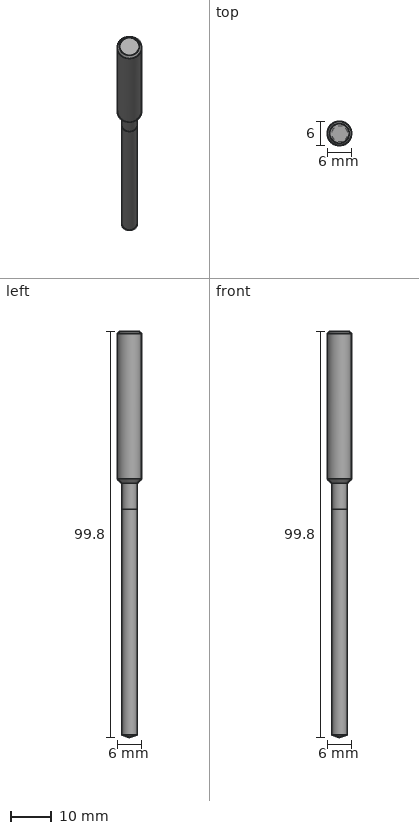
import cadquery as cq
import math

total_length = 99.8
shank_diameter = 6.0
drill_diameter = 3.9

shank_length = 37.3
drill_length = 56.1

top_chamfer_width = 0.6
top_chamfer_height = 0.6
taper_angle = 45.0

point_angle = 140.0

shank_radius = shank_diameter / 2
drill_radius = drill_diameter / 2
shank_bottom = total_length - shank_length
taper_height = (shank_radius - drill_radius) / math.tan(math.radians(taper_angle))
point_height = drill_radius / math.tan(math.radians(point_angle / 2))


def revolve_profile(points):
    """Turn a closed (radius, height) outline about the Z axis."""
    return cq.Workplane("XZ").polyline(points).close().revolve(360, (0, 0), (0, 1))


def make_shank():
    """Chamfered shank that tapers down to a neck as wide as the drill."""
    return revolve_profile([
        (0, drill_length),
        (drill_radius, drill_length),
        (drill_radius, shank_bottom),
        (shank_radius, shank_bottom + taper_height),
        (shank_radius, total_length - top_chamfer_height),
        (shank_radius - top_chamfer_width, total_length),
        (0, total_length),
    ])


def make_drill():
    """Plain drill rod with a conical point, butted against the neck."""
    return revolve_profile([
        (0, 0),
        (drill_radius, point_height),
        (drill_radius, drill_length),
        (0, drill_length),
    ])


shank = make_shank()
drill = make_drill()

result = cq.Compound.makeCompound([shank.val(), drill.val()])